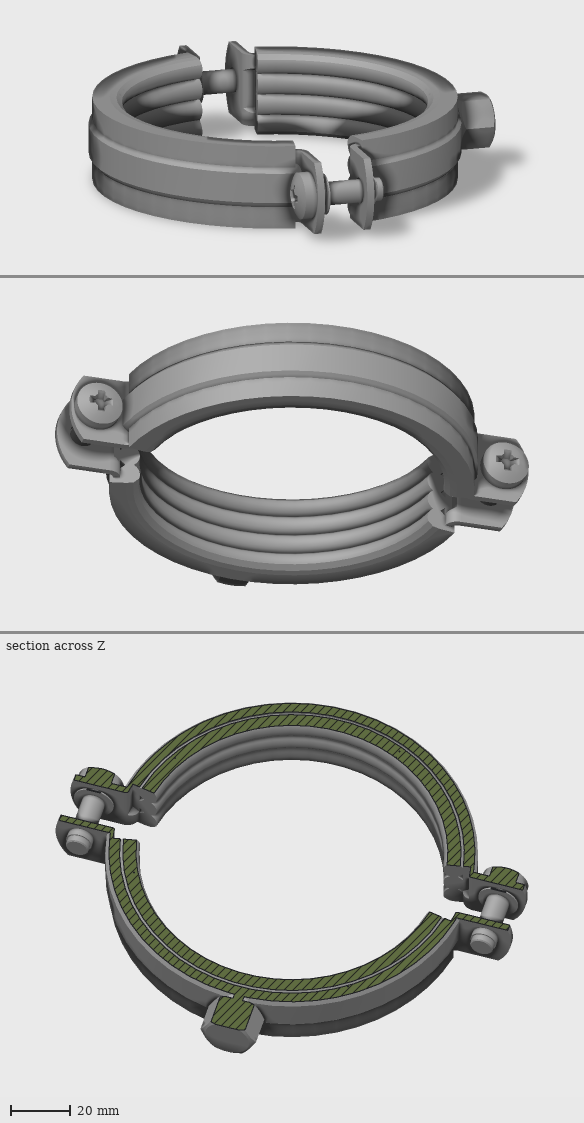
import cadquery as cq
import math

lining_width = 28.95
lining_outer_radius = 61.9
lip_gap_half_width = 7.0
lobe_count = 4
lobe_pitch = lining_width / lobe_count
lobe_tip_radius = 51.6
lobe_root_radius = 53.7
flank_radius = 56.0
flank_drop = 0.35
edge_bevel_radius = 51.9
edge_bevel_drop = 1.9
channel_depth = 1.8
channel_half_width = 1.6

band_width = 25.0
band_thickness = 2.5
band_inner_radius = 58.3
band_outer_radius = band_inner_radius + band_thickness
bead_radius = 63.15
bead_crest_half_width = 5.15
bead_foot_half_width = 8.0

ear_inner_y = 7.5
ear_outer_y = ear_inner_y + band_thickness
ear_tip_x = 80.5
ear_tip_arc_radius = 20.0
bend_radius = 4.5
bend_inside_radius = bend_radius - band_thickness
bend_groove_radius = band_outer_radius
bend_groove_floor_half_width = 6.6
bend_groove_mouth_half_width = 7.9

bend_y = ear_inner_y + bend_radius
bend_x = math.sqrt((band_inner_radius + bend_radius) ** 2 - bend_y ** 2)
end_angle = math.degrees(math.atan2(bend_y, bend_x))

screw_x = 71.5
screw_diameter = 8.0
screw_tip_y = 15.0
screw_tip_chamfer = 0.4
collar_diameter = 9.0
collar_top_y = 12.5
collar_seat_depth = 0.5
washer_diameter = 14.0
washer_thickness = 0.5
washer_y = -5.4
head_diameter = 16.0
head_side_height = 4.0
dome_height = 2.4
recess_width = 9.4
recess_floor_diameter = 3.8
recess_arm_thickness = 2.6
recess_core_diameter = 5.2
recess_depth = 3.0

nut_across_flats = 17.0
nut_top_y = 75.85
nut_bottom_y = 63.6
nut_chamfer_angle = 30.0
nut_face_radius = 7.7
neck_diameter = 13.4


def revolved(profile):
    """Revolve a half profile drawn as (radius, z) once around the Z axis."""
    return profile.revolve(360, (0, 0, 0), (0, 1, 0))


def lining_ring():
    """Full ring of rubber with lobes towards the bore and lips over the band edges."""
    half = lining_width / 2
    bevel_z = half - edge_bevel_drop
    shoulder_z = half - flank_drop
    roots = [-half + i * lobe_pitch for i in range(1, lobe_count)]
    profile = (
        cq.Workplane("XZ")
        .moveTo(lining_outer_radius, -half)
        .lineTo(flank_radius, -half)
        .lineTo(lobe_root_radius, -shoulder_z)
        .lineTo(edge_bevel_radius, -bevel_z)
    )
    for root_z in roots:
        crest = (lobe_tip_radius, root_z - lobe_pitch / 2)
        profile = profile.threePointArc(crest, (lobe_root_radius, root_z))
    profile = (
        profile.threePointArc((lobe_tip_radius, half - lobe_pitch / 2), (edge_bevel_radius, bevel_z))
        .lineTo(lobe_root_radius, shoulder_z)
        .lineTo(flank_radius, half)
        .lineTo(lining_outer_radius, half)
        .lineTo(lining_outer_radius, lip_gap_half_width)
        .lineTo(band_outer_radius, lip_gap_half_width)
        .lineTo(band_outer_radius, -lip_gap_half_width)
        .lineTo(lining_outer_radius, -lip_gap_half_width)
        .close()
    )
    ring = revolved(profile)
    for z in roots:
        channel = (
            cq.Workplane("XZ")
            .moveTo(band_inner_radius - channel_depth, z)
            .lineTo(band_inner_radius, z - channel_half_width)
            .lineTo(band_inner_radius, z + channel_half_width)
            .close()
        )
        ring = ring.cut(revolved(channel))
    return ring


def bead_ring():
    """Full ring of the raised bead along the middle of the band."""
    root_radius = (band_inner_radius + band_outer_radius) / 2
    profile = (
        cq.Workplane("XZ")
        .moveTo(root_radius, -bead_foot_half_width)
        .lineTo(band_outer_radius, -bead_foot_half_width)
        .lineTo(bead_radius, -bead_crest_half_width)
        .lineTo(bead_radius, bead_crest_half_width)
        .lineTo(band_outer_radius, bead_foot_half_width)
        .lineTo(root_radius, bead_foot_half_width)
        .close()
    )
    return revolved(profile)


def upper_sector():
    """Region above the two radial planes on which the lining ends."""
    reach = 2 * lining_outer_radius
    rise = reach * math.tan(math.radians(end_angle))
    outline = [(0, 0), (reach, rise), (reach, reach), (-reach, reach), (-reach, rise)]
    return cq.Workplane("XY").polyline(outline).close().extrude(lining_width, both=True)


def ear():
    """Ear on the +X side with the bend that joins it to the band."""
    half = band_width / 2
    arc_start_x = ear_tip_x - ear_tip_arc_radius + math.sqrt(ear_tip_arc_radius ** 2 - half ** 2)
    plate = (
        cq.Workplane("XZ", origin=(0, ear_outer_y, 0))
        .moveTo(bend_x, -half)
        .lineTo(arc_start_x, -half)
        .threePointArc((ear_tip_x, 0), (arc_start_x, half))
        .lineTo(bend_x, half)
        .close()
        .extrude(band_thickness)
    )
    strip = (
        cq.Workplane("XZ")
        .moveTo(bend_inside_radius, -half)
        .lineTo(bend_radius, -half)
        .lineTo(bend_radius, half)
        .lineTo(bend_inside_radius, half)
        .close()
    )
    bend = (
        strip.revolve(90 - end_angle, (0, 0, 0), (0, 1, 0))
        .rotate((0, 0, 0), (0, 0, 1), 180 + end_angle)
        .translate((bend_x, bend_y, 0))
    )
    return plate.union(bend)


def bend_groove():
    """Hollow behind the bead where the bare band runs from the lining into the ears."""
    profile = (
        cq.Workplane("XZ")
        .moveTo(bend_groove_radius, -bend_groove_floor_half_width)
        .lineTo(bend_groove_radius, bend_groove_floor_half_width)
        .lineTo(band_inner_radius, bend_groove_mouth_half_width)
        .lineTo(band_inner_radius, -bend_groove_mouth_half_width)
        .close()
    )
    return revolved(profile).cut(upper_sector())


def upper_half():
    """Half clamp on the +Y side: lining, band, bead and two ears."""
    band = (
        cq.Workplane("XY")
        .circle(band_outer_radius)
        .circle(band_inner_radius)
        .extrude(band_width / 2, both=True)
    )
    half = lining_ring().union(band).intersect(upper_sector())
    above_ears = (
        cq.Workplane("XY")
        .box(4 * bead_radius, 2 * bead_radius, lining_width)
        .translate((0, bead_radius + ear_inner_y + band_thickness / 2, 0))
    )
    bead = bead_ring().intersect(above_ears)
    right_ear = ear()
    return half.union(bead).union(right_ear).union(right_ear.mirror("YZ")).cut(bend_groove())


def rod(diameter, start_y, end_y, x=0.0):
    """Cylinder along Y."""
    return cq.Workplane("XZ", origin=(x, end_y, 0)).circle(diameter / 2).extrude(end_y - start_y)


def screw_head(x):
    """Domed head with a tapered cross recess, seated on the lower ear."""
    radius = head_diameter / 2
    dome_start = ear_outer_y + head_side_height
    apex = dome_start + dome_height
    sphere_radius = (radius ** 2 + dome_height ** 2) / (2 * dome_height)
    mid_radius = radius / 2
    mid_y = apex - sphere_radius + math.sqrt(sphere_radius ** 2 - mid_radius ** 2)
    head = (
        cq.Workplane("XY")
        .moveTo(0, -ear_outer_y)
        .lineTo(radius, -ear_outer_y)
        .lineTo(radius, -dome_start)
        .threePointArc((mid_radius, -mid_y), (0, -apex))
        .close()
        .revolve(360, (0, 0, 0), (0, 1, 0))
    )
    floor_y = recess_depth - apex
    arm = (
        cq.Workplane("XY")
        .moveTo(-recess_width / 2, -apex)
        .lineTo(recess_width / 2, -apex)
        .lineTo(recess_floor_diameter / 2, floor_y)
        .lineTo(-recess_floor_diameter / 2, floor_y)
        .close()
        .extrude(recess_arm_thickness / 2, both=True)
    )
    core = (
        cq.Workplane("XY")
        .moveTo(0, -apex)
        .lineTo(recess_core_diameter / 2, -apex)
        .lineTo(recess_floor_diameter / 2, floor_y)
        .lineTo(0, floor_y)
        .close()
        .revolve(360, (0, 0, 0), (0, 1, 0))
    )
    head = head.cut(arm).cut(arm.rotate((0, 0, 0), (0, 1, 0), 90)).cut(core)
    return head.translate((x, 0, 0))


def screw(x):
    """Screw with its retaining washer and the collar that seats it in the upper ear."""
    shank = rod(screw_diameter, -ear_outer_y, screw_tip_y, x).faces(">Y").chamfer(screw_tip_chamfer)
    collar = rod(collar_diameter, ear_outer_y - collar_seat_depth, collar_top_y, x)
    washer = rod(washer_diameter, washer_y, washer_y + washer_thickness, x)
    return shank.union(collar).union(washer).union(screw_head(x))


def connection_nut():
    """Hexagon nut, chamfered at both ends, on a short neck above the band."""
    corner_radius = nut_across_flats / math.sqrt(3)
    slope = math.tan(math.radians(nut_chamfer_angle))
    chamfer_height = (corner_radius - nut_face_radius) * slope
    hexagon = (
        cq.Workplane("XZ", origin=(0, nut_top_y, 0))
        .polygon(6, 2 * corner_radius)
        .extrude(nut_top_y - nut_bottom_y)
    )
    envelope = (
        cq.Workplane("XY")
        .moveTo(0, nut_bottom_y)
        .lineTo(nut_face_radius, nut_bottom_y)
        .lineTo(corner_radius, nut_bottom_y + chamfer_height)
        .lineTo(corner_radius, nut_top_y - chamfer_height)
        .lineTo(nut_face_radius, nut_top_y)
        .lineTo(0, nut_top_y)
        .close()
        .revolve(360, (0, 0, 0), (0, 1, 0))
    )
    neck = rod(neck_diameter, band_outer_radius, nut_bottom_y)
    return hexagon.intersect(envelope).union(neck)


upper = upper_half()
lower = upper.mirror("XZ")
clamp = upper.union(lower).union(connection_nut())
for x in (-screw_x, screw_x):
    collar_hole = rod(collar_diameter, ear_inner_y, ear_outer_y, x)
    clamp = clamp.cut(collar_hole).union(screw(x))

result = clamp.solids()